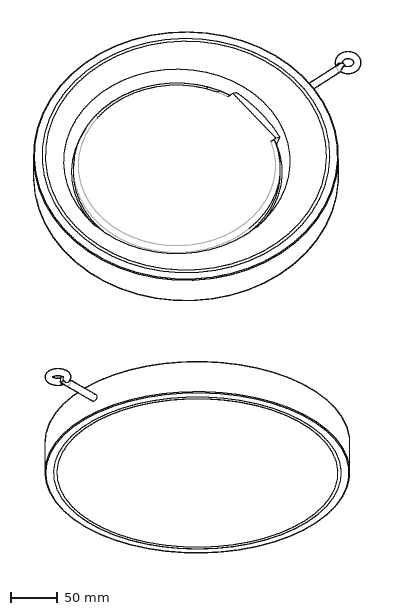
import cadquery as cq

body_diameter = 330.0
body_thickness = 40.0
rim_chamfer = 1.0
body_radius = body_diameter / 2
face_z = body_thickness / 2

overall_height = 41.8
seal_radius = 153.8
seal_section_radius = 2.25
seal_z = overall_height / 2 - seal_section_radius

pocket_center_y = -12.5
pocket_mouth_radius = 122.5
pocket_floor_radius = 114.0
pocket_floor_z = 0.0
pocket_depth = face_z - pocket_floor_z

disc_radius = 112.0
disc_edge_fillet = 5.3
disc_top_z = 12.6
disc_thickness = disc_top_z - pocket_floor_z

tab_width = 75.5
tab_fold_reach = disc_radius - disc_edge_fillet
tab_slope_run = 11.0
tab_slope_drop = 6.0
tab_end_reach = pocket_mouth_radius

eye_tip_y = 236.99
rod_diameter = 8.0
rod_end_y = 207.0
neck_tip_diameter = 6.75
eye_section_radius = rod_diameter / 2
eye_ring_radius = 10.0
eye_gap_half_angle = 18.0
eye_center_y = eye_tip_y - eye_ring_radius - eye_section_radius
neck_end_y = eye_center_y - eye_ring_radius + eye_section_radius
rod_embed = 10.0


def make_body():
    """Flat round body with broken rims."""
    disc = cq.Workplane("XY", origin=(0, 0, -face_z)).circle(body_radius).extrude(body_thickness)
    return disc.edges().chamfer(rim_chamfer)


def make_torus(ring_radius, section_radius, center, gap_half_angle=0.0):
    """Torus around an axis parallel to Z, optionally left open around the -Y direction."""
    section = cq.Workplane("XZ").center(ring_radius, 0).circle(section_radius)
    ring = section.revolve(360 - 2 * gap_half_angle, (-ring_radius, 0), (-ring_radius, 1))
    return ring.rotate((0, 0, 0), (0, 0, 1), gap_half_angle - 90).translate(center)


def make_pocket():
    """Truncated cone that narrows from the upper face to the pocket floor."""
    return cq.Workplane(
        obj=cq.Solid.makeCone(
            pocket_floor_radius,
            pocket_mouth_radius,
            pocket_depth,
            cq.Vector(0, pocket_center_y, pocket_floor_z),
        )
    )


def make_disc():
    """Closing disc with a rounded upper edge."""
    disc = (
        cq.Workplane("XY", origin=(0, pocket_center_y, pocket_floor_z))
        .circle(disc_radius)
        .extrude(disc_thickness)
    )
    return disc.faces(">Z").edges().fillet(disc_edge_fillet)


def make_flap(pocket):
    """Disc and hinge tab in one, the tab sloping beyond the fold and trimmed to the pocket wall."""
    fold_y = pocket_center_y + tab_fold_reach
    end_y = pocket_center_y + tab_end_reach
    end_drop = tab_slope_drop / tab_slope_run * (end_y - fold_y)
    tab = (
        cq.Workplane("XY", origin=(-tab_width / 2, pocket_center_y, pocket_floor_z))
        .rect(tab_width, tab_end_reach, centered=False)
        .extrude(disc_thickness)
    )
    above_slope = (
        cq.Workplane("YZ", origin=(-tab_width / 2, 0, 0))
        .moveTo(fold_y, disc_top_z)
        .lineTo(end_y, disc_top_z)
        .lineTo(end_y, disc_top_z - end_drop)
        .close()
        .extrude(tab_width)
    )
    return make_disc().union(tab).cut(above_slope).intersect(pocket)


def make_eye_bolt():
    """Rod rooted in the rim, a tapered neck and the open lifting ring that the neck closes."""
    rod_start_y = body_radius - rod_embed
    axis = cq.Vector(0, 1, 0)
    rod = cq.Workplane(
        obj=cq.Solid.makeCylinder(
            rod_diameter / 2, rod_end_y - rod_start_y, cq.Vector(0, rod_start_y, 0), axis
        )
    )
    neck = cq.Workplane(
        obj=cq.Solid.makeCone(
            rod_diameter / 2, neck_tip_diameter / 2, neck_end_y - rod_end_y, cq.Vector(0, rod_end_y, 0), axis
        )
    )
    ring = make_torus(eye_ring_radius, eye_section_radius, (0, eye_center_y, 0), eye_gap_half_angle)
    return rod.union(neck).union(ring)


pocket = make_pocket()
result = make_body().cut(pocket).union(make_flap(pocket))
for side in (1, -1):
    result = result.union(make_torus(seal_radius, seal_section_radius, (0, 0, side * seal_z)))
result = result.union(make_eye_bolt())